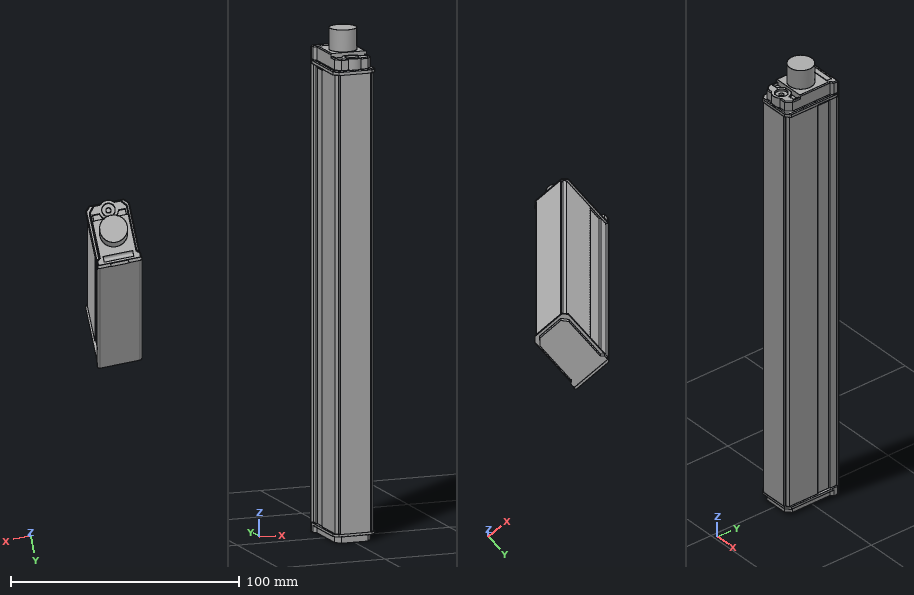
import cadquery as cq

DEPTH = 29.5
HEIGHT = 228.5
BACK_Y = DEPTH / 2
FRONT_Y = -DEPTH / 2

PLATE_WIDTH = 20.0
PLATE_THICKNESS = 1.25
PLATE_TOP = 218.0
PLATE_CORNER = 1.1
PLATE_TOP_DROP = 0.5
NOTCH_WIDTH = 8.0
NOTCH_DEPTH = 0.7
PLATE_FRONT_Y = BACK_Y - PLATE_THICKNESS

BODY_WIDTH = 17.8
BODY_BOTTOM = 4.3
BODY_TOP = 210.4
BODY_CHAMFER = 1.1
BODY_FRONT_Y = -14.0
GROOVE_BACK_Y = 10.0
GROOVE_FRONT_Y = 3.2
GROOVE_DEPTH = 0.5
GROOVE_BACK_SLOPE = 0.7
GROOVE_TOP = 210.0
GROOVE_TOP_SLOPE = 1.0

WINDOW_WIDTH = 14.2
WINDOW_THICKNESS = 1.8

FLANGE_WIDTH = 19.6
FLANGE_CHAMFER = 2.0
BOTTOM_FLANGE_THICKNESS = 1.1
TOP_FLANGE_THICKNESS = 1.8
FLANGE_RIM_CHAMFER = 0.5
INSET_WIDTH = 17.0
INSET_BACK_Y = 11.5
INSET_SLOPE = 1.1
INSET_FRONT_Y = -13.5
INSET_CHAMFER_X = 2.3
INSET_CHAMFER_Y = 2.7
CAP_TOP = 218.5
STEP_TOP = 217.2
STEP_Y = -6.5
TOP_EDGE_CHAMFER = 0.5

POCKET_WIDTH = 14.6
POCKET_LENGTH = 3.0
POCKET_DEPTH = 1.4

TROUGH_WIDTH = 13.2
TROUGH_Y = 11.3
TROUGH_RADIUS = 1.4
TROUGH_AXIS_RISE = 0.5

CONNECTOR_RADIUS = 6.2
CONNECTOR_Y = 0.7
SCREW_Y = -10.3
BOSS_RADIUS = 4.3
SCREW_RECESS = 1.0
SCREW_RADIUS = 3.0
SCREW_SEAT_Z = BODY_TOP + TOP_FLANGE_THICKNESS
SOCKET_RADIUS = 1.1
SOCKET_DEPTH = 1.1


def box(width, y_front, y_back, z_bottom, z_top):
    """Box centred on X between the given Y and Z limits."""
    return cq.Workplane("XY", origin=(0, (y_front + y_back) / 2, z_bottom)).box(
        width, y_back - y_front, z_top - z_bottom, centered=(True, True, False)
    )


def cylinder(radius, y, z_bottom, z_top):
    """Vertical cylinder on the plane of symmetry."""
    return cq.Workplane("XY", origin=(0, y, z_bottom)).circle(radius).extrude(z_top - z_bottom)


def mirrored_prism(right_points, z_bottom, z_top):
    """Prism whose outline is the given right half and its mirror image."""
    left_points = [(-x, y) for x, y in reversed(right_points)]
    outline = cq.Workplane("XY", origin=(0, 0, z_bottom)).polyline(right_points + left_points).close()
    return outline.extrude(z_top - z_bottom)


def full_section(width, chamfer, front_y, z_bottom, z_top):
    """Prism reaching from its front face to the rear plate, with chamfered front corners."""
    half = width / 2
    points = [
        (half - chamfer, front_y),
        (half, front_y + chamfer),
        (half, PLATE_FRONT_Y),
    ]
    return mirrored_prism(points, z_bottom, z_top)


def inset_section(z_bottom, z_top):
    """Section of a cap beyond its flange: full width at the back, narrower in front of it."""
    half = INSET_WIDTH / 2
    points = [
        (half - INSET_CHAMFER_X, INSET_FRONT_Y),
        (half, INSET_FRONT_Y + INSET_CHAMFER_Y),
        (half, INSET_BACK_Y - INSET_SLOPE),
        (FLANGE_WIDTH / 2, INSET_BACK_Y),
        (FLANGE_WIDTH / 2, PLATE_FRONT_Y),
    ]
    return mirrored_prism(points, z_bottom, z_top)


def sloped_slab(width, z_front):
    """Upright slab with the plate's thickness, its top falling from the front edge to the back."""
    side = [(PLATE_FRONT_Y, 0), (BACK_Y, 0), (BACK_Y, z_front - PLATE_TOP_DROP), (PLATE_FRONT_Y, z_front)]
    return cq.Workplane("YZ", origin=(-width / 2, 0, 0)).polyline(side).close().extrude(width)


def make_rear_plate():
    """Plate with rounded rear corners and a notched top that slopes down to the back."""
    plate = sloped_slab(PLATE_WIDTH, PLATE_TOP)
    plate = plate.edges("|Z and >Y").fillet(PLATE_CORNER)
    notch = box(NOTCH_WIDTH, PLATE_FRONT_Y, BACK_Y, BODY_TOP, PLATE_TOP)
    return plate.cut(notch.cut(sloped_slab(NOTCH_WIDTH, PLATE_TOP - NOTCH_DEPTH)))


def make_window():
    return box(WINDOW_WIDTH, FRONT_Y, FRONT_Y + WINDOW_THICKNESS, BODY_BOTTOM, BODY_TOP)


def side_groove(side):
    """Shallow groove along one side of the housing, open below and sloped at its back and top."""
    outer = side * BODY_WIDTH / 2
    floor = outer - side * GROOVE_DEPTH
    section = [
        (outer, GROOVE_FRONT_Y),
        (floor, GROOVE_FRONT_Y),
        (floor, GROOVE_BACK_Y - GROOVE_BACK_SLOPE),
        (outer, GROOVE_BACK_Y),
    ]
    length_profile = [
        (outer, BODY_BOTTOM),
        (floor, BODY_BOTTOM),
        (floor, GROOVE_TOP - GROOVE_TOP_SLOPE),
        (outer, GROOVE_TOP),
    ]
    start = cq.Workplane("XY", origin=(0, 0, BODY_BOTTOM))
    channel = start.polyline(section).close().extrude(GROOVE_TOP - BODY_BOTTOM)
    end_start = cq.Workplane("XZ", origin=(0, GROOVE_BACK_Y, 0))
    sloped_end = end_start.polyline(length_profile).close().extrude(GROOVE_BACK_Y - GROOVE_FRONT_Y)
    return channel.intersect(sloped_end)


def make_housing():
    housing = full_section(BODY_WIDTH, BODY_CHAMFER, BODY_FRONT_Y, BODY_BOTTOM, BODY_TOP)
    for side in (-1, 1):
        housing = housing.cut(side_groove(side))
    return housing.cut(make_window())


def make_bottom_cap():
    flange_bottom = BODY_BOTTOM - BOTTOM_FLANGE_THICKNESS
    flange = full_section(FLANGE_WIDTH, FLANGE_CHAMFER, FRONT_Y, flange_bottom, BODY_BOTTOM)
    return flange.union(inset_section(0, flange_bottom))


def step_pocket():
    """Pocket across the step, interrupted by the round screw boss."""
    pocket = box(POCKET_WIDTH, STEP_Y - POCKET_LENGTH, STEP_Y, STEP_TOP - POCKET_DEPTH, STEP_TOP)
    return pocket.cut(cylinder(BOSS_RADIUS, SCREW_Y, SCREW_SEAT_Z, STEP_TOP))


def top_trough():
    """Shallow round-bottomed trough along X, its axis just above the cap."""
    axis = cq.Workplane("YZ", origin=(-TROUGH_WIDTH / 2, TROUGH_Y, CAP_TOP + TROUGH_AXIS_RISE))
    return axis.circle(TROUGH_RADIUS).extrude(TROUGH_WIDTH)


def cap_block(z_top):
    """Inset block on the top flange, with a chamfered upper rim."""
    block = inset_section(SCREW_SEAT_Z, z_top)
    return block.faces(">Z").edges("not >Y").chamfer(TOP_EDGE_CHAMFER)


def make_top_cap():
    flange = full_section(FLANGE_WIDTH, FLANGE_CHAMFER, FRONT_Y, BODY_TOP, SCREW_SEAT_Z)
    flange = flange.faces(">Z").edges("not >Y").chamfer(FLANGE_RIM_CHAMFER)
    front_space = box(FLANGE_WIDTH, FRONT_Y, STEP_Y, SCREW_SEAT_Z, CAP_TOP)
    cap = flange.union(cap_block(CAP_TOP).cut(front_space))
    cap = cap.union(cap_block(STEP_TOP).intersect(front_space))
    cap = cap.union(cylinder(BOSS_RADIUS, SCREW_Y, SCREW_SEAT_Z, STEP_TOP))
    cap = cap.cut(step_pocket())
    cap = cap.cut(cylinder(SCREW_RADIUS, SCREW_Y, SCREW_SEAT_Z, STEP_TOP))
    return cap.cut(top_trough())


def make_connector():
    return cylinder(CONNECTOR_RADIUS, CONNECTOR_Y, CAP_TOP, HEIGHT)


def make_screw():
    screw_top = STEP_TOP - SCREW_RECESS
    screw = cylinder(SCREW_RADIUS, SCREW_Y, SCREW_SEAT_Z, screw_top)
    return screw.cut(cylinder(SOCKET_RADIUS, SCREW_Y, screw_top - SOCKET_DEPTH, screw_top))


bodies = [
    make_housing(),
    make_window(),
    make_rear_plate(),
    make_bottom_cap(),
    make_top_cap(),
    make_connector(),
    make_screw(),
]
result = cq.Compound.makeCompound([solid for body in bodies for solid in body.vals()])